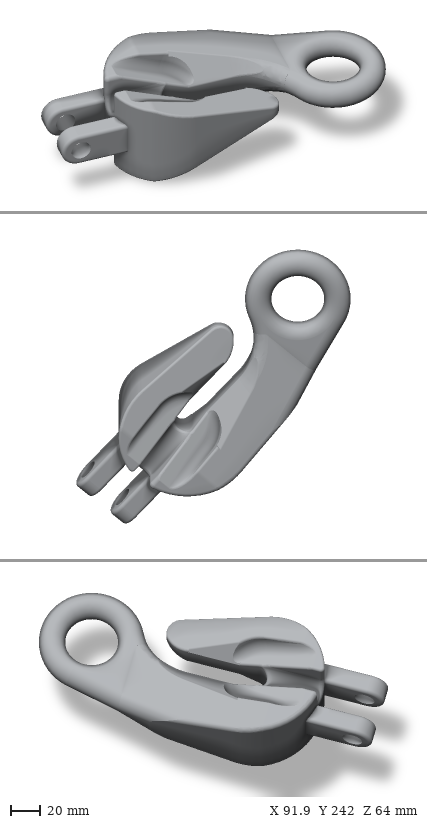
import cadquery as cq
import math


EYE_OUTER_R = 36.3
BAR_R = 9.08
EYE_AXIS_R = EYE_OUTER_R - BAR_R
LEAN_ROUND_R = 9.0
THROAT_ROUND_R = 8.7

SLOT_HALF_WIDTH = 7.3
SLOT_END_Y = -117.4
THROAT_START_Y = -69.7
THROAT_R = (THROAT_START_Y**2 + SLOT_HALF_WIDTH**2 - EYE_OUTER_R**2) / (2 * (EYE_OUTER_R + SLOT_HALF_WIDTH))
THROAT_CENTER = (THROAT_R - SLOT_HALF_WIDTH, THROAT_START_Y)

BODY_HALF_HEIGHT = 32.0
BODY_BOTTOM_Y = -164.5
BEND_R = 9.7

SHANK_X = -49.9
SHANK_ARC_CENTER = (0, BODY_BOTTOM_Y - SHANK_X)
SHANK_TAPER_TOP_Y = -31.5
SHANK_TAPER_END_Y = -132.9
SHANK_EDGE_R = 3.1
LEAN_NORMAL = math.radians(180 - 12.8)

TIP_SIDE_X = 42.0
TIP_ARC_CENTER = (0, BODY_BOTTOM_Y + TIP_SIDE_X)
TIP_SIDE_NORMAL = math.radians(9.7)
TIP_R = 9.7
TIP_CENTER = (21.3, -57.4)
TIP_WALL_Y = -66.8
TIP_TAPER_END_Y = -143.0
TIP_TAPER_SLOPE = 0.3
TIP_TOP_HALF_HEIGHT = 2.5
TIP_EDGE_R = 1.7

GROOVE_AXIS_Z = 17.2
GROOVE_MOUTH_R = 2.7
FLARE_Z = 7.3
FLARE_END_Y = -111.3
POCKET_HALF_WIDTH = 24.5
POCKET_CORNER_R = 6.0
POCKET_END_Y = -119.3
POCKET_EXIT_Y = -155.0
POCKET_ANGLE = 24.5
POCKET_EDGE_R = 1.7

LUG_INNER_X = 8.7
LUG_THICKNESS = 14.0
LUG_HALF_HEIGHT = 12.0
LUG_END_Y = -205.7
LUG_ROOT_Y = -145.2
LUG_HOLE_Y = -192.1
LUG_HOLE_D = 14.0
LUG_EDGE_R = 2.5

FAR = 96.8
MARGIN = 0.2


def polar(center, radius, angle):
    return (center[0] + radius * math.cos(angle), center[1] + radius * math.sin(angle))


def lean_x(y, radius=EYE_OUTER_R):
    """X, at the given Y, of the leaning tangent to a circle of this radius about the eye centre."""
    return (radius - y * math.sin(LEAN_NORMAL)) / math.cos(LEAN_NORMAL)


THROAT_AXIS_R = THROAT_R + BAR_R
THROAT_EYE_ANGLE = math.atan2(-THROAT_CENTER[1], -THROAT_CENTER[0])
THROAT_TOP_ANGLE = math.pi - math.asin((SHANK_TAPER_TOP_Y - THROAT_START_Y) / THROAT_AXIS_R)
THROAT_TOP = polar(THROAT_CENTER, THROAT_R, THROAT_TOP_ANGLE)
THROAT_MID = polar(THROAT_CENTER, THROAT_R, (THROAT_TOP_ANGLE + math.pi) / 2)
THROAT_AXIS_TOP = polar(THROAT_CENTER, THROAT_AXIS_R, THROAT_TOP_ANGLE)

NOSE_DX = TIP_CENTER[0] - SLOT_HALF_WIDTH
NOSE_DY = TIP_CENTER[1] - TIP_WALL_Y
NOSE_WALL_R = (NOSE_DX**2 + NOSE_DY**2 - TIP_R**2) / (2 * (NOSE_DX - TIP_R))
NOSE_WALL_CENTER = (SLOT_HALF_WIDTH + NOSE_WALL_R, TIP_WALL_Y)
NOSE_JOIN_ANGLE = math.atan2(NOSE_DY, TIP_CENTER[0] - NOSE_WALL_CENTER[0])


def both_sides(shape):
    """The shape together with its mirror image below Z = 0."""
    return shape.union(shape.mirror("XY"))


def region(x_range, y_range, z_range=(2.5, FAR)):
    """Selector for edges centred in a box above Z = 0 or in its mirror image below."""
    (x0, x1), (y0, y1), (z0, z1) = x_range, y_range, z_range
    above = cq.selectors.BoxSelector((x0, y0, z0), (x1, y1, z1))
    below = cq.selectors.BoxSelector((x0, y0, -z1), (x1, y1, -z0))
    return above + below


def prism(outline):
    return outline.close().extrude(FAR, both=True)


def tapered_block(top_y, top_half_height, end_y):
    """Wide block that thickens along -Y from top_y to end_y, then keeps the body height."""
    upper = [(top_y, top_half_height), (end_y, BODY_HALF_HEIGHT), (BODY_BOTTOM_Y - FAR, BODY_HALF_HEIGHT)]
    lower = [(y, -z) for y, z in reversed(upper)]
    block = prism(cq.Workplane("YZ").polyline(upper + lower))
    bends = region((-FAR, FAR), (end_y - MARGIN, end_y + MARGIN))
    return block.edges("|X").edges(bends).fillet(BEND_R)


def eye():
    """Eye ring, the bars leaving it on both sides and the flat web between them."""
    ring = cq.Workplane("XZ").center(EYE_AXIS_R, 0).circle(BAR_R).revolve(360, (-EYE_AXIS_R, 0), (-EYE_AXIS_R, 1))

    lean_start = polar((0, 0), EYE_AXIS_R, LEAN_NORMAL)
    lean_end = (lean_x(SHANK_TAPER_TOP_Y, EYE_AXIS_R), SHANK_TAPER_TOP_Y)
    lean_axis = cq.Vector(lean_end[0] - lean_start[0], lean_end[1] - lean_start[1], 0)
    overlap = 2.5
    lean_bar = cq.Workplane(
        cq.Solid.makeCylinder(BAR_R, lean_axis.Length + overlap, cq.Vector(*lean_start, 0), lean_axis))

    throat_bar = (
        cq.Workplane("XZ").center(THROAT_AXIS_R, 0).circle(BAR_R)
        .revolve(math.degrees(THROAT_TOP_ANGLE - THROAT_EYE_ANGLE), (-THROAT_AXIS_R, 0), (-THROAT_AXIS_R, 1))
        .rotate((0, 0, 0), (0, 0, 1), math.degrees(THROAT_EYE_ANGLE))
        .translate((*THROAT_CENTER, 0))
    )

    throat_axis_mid = polar(THROAT_CENTER, THROAT_AXIS_R, (THROAT_TOP_ANGLE + THROAT_EYE_ANGLE) / 2)
    throat_axis_end = polar(THROAT_CENTER, THROAT_AXIS_R, THROAT_EYE_ANGLE)
    web = (
        cq.Workplane("XY").moveTo(*lean_start).lineTo(*lean_end).lineTo(*THROAT_AXIS_TOP)
        .threePointArc(throat_axis_mid, throat_axis_end).lineTo(0, 0).close().extrude(BAR_R, both=True)
    )
    opening = cq.Workplane("XY").circle(EYE_AXIS_R).extrude(FAR, both=True)
    return web.cut(opening).union(ring).union(lean_bar).union(throat_bar)


def cut_groove(half_body):
    """Cut the round-bottomed grooves from the slot end to the -Y side and round their mouths."""
    profile = cq.Workplane("XZ", origin=(0, SLOT_END_Y, GROOVE_AXIS_Z))
    length = SLOT_END_Y - BODY_BOTTOM_Y + 2.5
    groove = (
        profile.circle(SLOT_HALF_WIDTH).extrude(length)
        .union(profile.rect(2 * SLOT_HALF_WIDTH, FAR).extrude(length).translate((0, 0, FAR / 2)))
    )
    half_body = half_body.cut(both_sides(groove))

    mouth_x = SLOT_HALF_WIDTH + MARGIN
    mouth = region((-mouth_x, mouth_x), (BODY_BOTTOM_Y - MARGIN, BODY_BOTTOM_Y + 2.5))
    middle = region((-MARGIN, MARGIN), (BODY_BOTTOM_Y - MARGIN, 0))
    return half_body.edges(mouth - middle).edges("not |Y").fillet(GROOVE_MOUTH_R)


def round_outer_edges(half_body, x_range, top_y, radius):
    """Round the top and bottom edges of a body half along its outside."""
    outside = region(x_range, (BODY_BOTTOM_Y, top_y))
    return half_body.edges(outside).edges("not |X").edges("not |Z").fillet(radius)


def throat_side(outline):
    """Continue an outline up the slot wall of the shank and along the throat."""
    return (
        outline.lineTo(-SLOT_HALF_WIDTH, THROAT_START_Y).threePointArc(THROAT_MID, THROAT_TOP)
        .lineTo(*THROAT_AXIS_TOP)
    )


def shank():
    """The -X half of the body, from the eye down to the plane X = 0."""
    below_bends = SHANK_TAPER_TOP_Y - 2.5
    block = tapered_block(SHANK_TAPER_TOP_Y, BAR_R, SHANK_TAPER_END_Y)
    outline = (
        cq.Workplane("XY").moveTo(SHANK_X, SHANK_TAPER_TOP_Y).lineTo(*polar(SHANK_ARC_CENTER, SHANK_X, 0))
        .threePointArc(polar(SHANK_ARC_CENTER, -SHANK_X, -3 * math.pi / 4), (0, BODY_BOTTOM_Y))
        .lineTo(0, SLOT_END_Y - SLOT_HALF_WIDTH)
        .threePointArc(polar((0, SLOT_END_Y), SLOT_HALF_WIDTH, -3 * math.pi / 4), (-SLOT_HALF_WIDTH, SLOT_END_Y))
    )
    body = cut_groove(block.intersect(prism(throat_side(outline))))
    outside_x = (SHANK_X - MARGIN, -SLOT_HALF_WIDTH - TIP_EDGE_R)
    body = round_outer_edges(body, outside_x, below_bends, SHANK_EDGE_R)

    lean_end_x = lean_x(SLOT_END_Y)
    beyond_y = BODY_BOTTOM_Y - 2.5
    bar_outline = (
        cq.Workplane("XY").moveTo(lean_x(SHANK_TAPER_TOP_Y), SHANK_TAPER_TOP_Y)
        .lineTo(lean_end_x, SLOT_END_Y).lineTo(lean_end_x, beyond_y).lineTo(FAR, beyond_y)
        .lineTo(FAR, SLOT_END_Y).lineTo(-SLOT_HALF_WIDTH, SLOT_END_Y)
    )
    bar = block.intersect(prism(throat_side(bar_outline)))
    lean_edges = region((-FAR, SHANK_X / 2), (SLOT_END_Y, below_bends))
    bar = bar.edges(lean_edges).edges("not |X").fillet(LEAN_ROUND_R)
    throat_edges = region((-SLOT_HALF_WIDTH, THROAT_TOP[0]), (THROAT_START_Y, THROAT_TOP[1]))
    bar = bar.edges(throat_edges).fillet(THROAT_ROUND_R)
    return body.intersect(bar)


def tip():
    """The +X half of the body, from the plane X = 0 round to the free nose."""
    taper_top_y = TIP_TAPER_END_Y + (BODY_HALF_HEIGHT - TIP_TOP_HALF_HEIGHT) / TIP_TAPER_SLOPE
    block = tapered_block(taper_top_y, TIP_TOP_HALF_HEIGHT, TIP_TAPER_END_Y)
    outline = (
        cq.Workplane("XY").moveTo(0, BODY_BOTTOM_Y)
        .threePointArc(polar(TIP_ARC_CENTER, TIP_SIDE_X, -math.pi / 4),
                       polar(TIP_ARC_CENTER, TIP_SIDE_X, TIP_SIDE_NORMAL))
        .lineTo(*polar(TIP_CENTER, TIP_R, TIP_SIDE_NORMAL))
        .threePointArc(polar(TIP_CENTER, TIP_R, math.pi / 2), polar(TIP_CENTER, TIP_R, NOSE_JOIN_ANGLE))
        .threePointArc(polar(NOSE_WALL_CENTER, NOSE_WALL_R, (NOSE_JOIN_ANGLE + math.pi) / 2),
                       (SLOT_HALF_WIDTH, TIP_WALL_Y))
        .lineTo(SLOT_HALF_WIDTH, SLOT_END_Y)
        .threePointArc(polar((0, SLOT_END_Y), SLOT_HALF_WIDTH, -math.pi / 4), (0, SLOT_END_Y - SLOT_HALF_WIDTH))
    )
    body = cut_groove(block.intersect(prism(outline)))
    return round_outer_edges(body, (SLOT_HALF_WIDTH + TIP_EDGE_R, FAR), 0, TIP_EDGE_R)


def on_pocket_floor(shape):
    """Move a shape from the XY plane to the sloping pocket floor."""
    floor_z = BODY_HALF_HEIGHT - (POCKET_END_Y - POCKET_EXIT_Y) * math.tan(math.radians(POCKET_ANGLE))
    return shape.rotate((0, 0, 0), (1, 0, 0), -POCKET_ANGLE).translate((0, POCKET_END_Y, floor_z))


def pocket():
    """Link pocket with a round upper end; its floor rises and runs out through the top face."""
    round_end = cq.Workplane("XY").circle(POCKET_HALF_WIDTH).extrude(FAR)
    straight = cq.Workplane("XY").center(0, -FAR / 2).rect(2 * POCKET_HALF_WIDTH, FAR).extrude(FAR)
    return on_pocket_floor(round_end.union(straight).faces("<Z").edges().fillet(POCKET_CORNER_R))


def flare():
    """45 degree opening of slot walls and throat above FLARE_Z, ending at the pocket floor."""
    reach = BODY_HALF_HEIGHT

    def section(side, wall_x, y=0):
        points = [(wall_x - 2.5, FLARE_Z), (wall_x, FLARE_Z),
                  (wall_x + reach, FLARE_Z + reach), (wall_x - 2.5, FLARE_Z + reach)]
        return cq.Workplane("XZ", origin=(0, y, 0)).polyline([(side * x, z) for x, z in points]).close()

    shank_side = section(-1, SLOT_HALF_WIDTH, THROAT_START_Y).extrude(THROAT_START_Y - FLARE_END_Y)
    tip_side = section(1, SLOT_HALF_WIDTH, TIP_WALL_Y).extrude(TIP_WALL_Y - FLARE_END_Y)
    throat = (
        section(-1, THROAT_R).revolve(90, (0, 0), (0, 1))
        .rotate((0, 0, 0), (0, 0, 1), -90).translate((*THROAT_CENTER, 0))
    )
    above_floor = on_pocket_floor(cq.Workplane("XY").rect(2 * FAR, 2 * FAR).extrude(FAR))
    return shank_side.union(throat).union(tip_side).intersect(above_floor)


def round_pocket_edges(body):
    """Soften the pocket rims, the upper edges of the flare and the slot edges of the pocket floor."""
    slot_bottom_y = SLOT_END_Y - SLOT_HALF_WIDTH
    exit_side_y = POCKET_EXIT_Y + 1.2

    slot_x = (-SLOT_HALF_WIDTH - 1.2, SLOT_HALF_WIDTH + 1.2)
    beside_groove = region(slot_x, (exit_side_y, slot_bottom_y), (GROOVE_AXIS_Z + MARGIN, FAR))
    slot_end = region(slot_x, (slot_bottom_y, FLARE_END_Y + 4.8), (FLARE_Z + 2.5, GROOVE_AXIS_Z - MARGIN))

    rim_inner_x = POCKET_HALF_WIDTH - 2.5
    rim_outer_x = POCKET_HALF_WIDTH + MARGIN
    rim_y = (exit_side_y, POCKET_END_Y)
    shank_rim = region((-rim_outer_x, -rim_inner_x), rim_y, (28.0, FAR))
    tip_rim = region((rim_inner_x, rim_outer_x), rim_y, (26.0, FAR))

    flare_y = (-96.8, -72.5)
    shank_flare = region((-24.2, -17), flare_y, (19.4, 24.2))
    tip_flare = region((12, 17), flare_y, (9.7, 19.4))

    edges = beside_groove + slot_end + shank_rim + tip_rim + shank_flare + tip_flare
    return body.edges(edges).fillet(POCKET_EDGE_R)


def lug():
    """The +X lug, with a full-round end and its pin hole."""
    round_y = LUG_END_Y + LUG_HALF_HEIGHT
    plate = (
        cq.Workplane("YZ", origin=(LUG_INNER_X, 0, 0))
        .moveTo(LUG_ROOT_Y, -LUG_HALF_HEIGHT).lineTo(round_y, -LUG_HALF_HEIGHT)
        .threePointArc((LUG_END_Y, 0), (round_y, LUG_HALF_HEIGHT)).lineTo(LUG_ROOT_Y, LUG_HALF_HEIGHT)
        .close().extrude(LUG_THICKNESS)
    )
    plate = plate.faces("<X or >X").edges("not |Z").fillet(LUG_EDGE_R)
    hole = cq.Workplane("YZ").center(LUG_HOLE_Y, 0).circle(LUG_HOLE_D / 2).extrude(FAR)
    return plate.cut(hole)


body = shank().union(tip())
body = body.cut(both_sides(pocket())).cut(both_sides(flare()))
body = round_pocket_edges(body)
result = body.union(eye()).union(lug()).union(lug().mirror("YZ"))